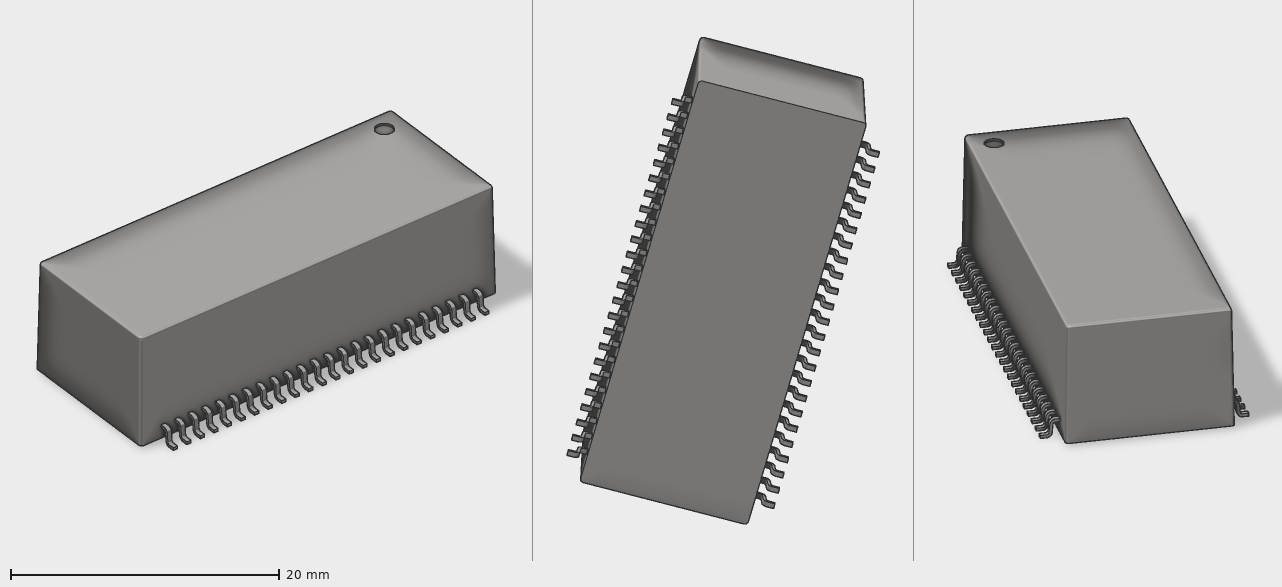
import cadquery as cq
import math

BODY_WIDTH = 13.0
BODY_LENGTH = 33.4
BODY_BOTTOM = 0.3
BODY_TOP = 10.0
DRAFT_ANGLE = 1.0
CORNER_RADIUS = 0.3
TOP_EDGE_RADIUS = 0.3

INDEX_DIAMETER = 1.5
INDEX_DEPTH = 0.2
INDEX_X = -4.5
INDEX_Y = 14.5

LEADS_PER_SIDE = 24
LEAD_PITCH = 1.27
LEAD_WIDTH = 0.4
LEAD_THICKNESS = 0.25
LEAD_TIP_X = 8.0
LEAD_TOP = 1.5
LEAD_HEEL_X = 7.12
LEG_TILT = 5.0
INNER_BEND_RADIUS = 0.2
LEAD_EMBED = 0.5


def make_body():
    """Drafted block with rounded vertical corners and a rounded top rim."""
    block = (
        cq.Workplane("XY")
        .workplane(offset=BODY_BOTTOM)
        .rect(BODY_WIDTH, BODY_LENGTH)
        .extrude(BODY_TOP - BODY_BOTTOM, taper=DRAFT_ANGLE)
    )
    upright_edges = block.edges("not(#Z)")
    return upright_edges.fillet(CORNER_RADIUS).faces(">Z").edges().fillet(TOP_EDGE_RADIUS)


def make_index_recess():
    """Cutter for the shallow round mark."""
    return (
        cq.Workplane("XY")
        .workplane(offset=BODY_TOP - INDEX_DEPTH)
        .center(INDEX_X, INDEX_Y)
        .circle(INDEX_DIAMETER / 2)
        .extrude(INDEX_DEPTH)
    )


def make_lead():
    """One bent lead on the +X side, centred on Y = 0."""
    tilt = math.radians(LEG_TILT)
    leg_thickness_x = LEAD_THICKNESS / math.cos(tilt)
    shoulder_bottom = LEAD_TOP - LEAD_THICKNESS
    root_x = BODY_WIDTH / 2 - LEAD_EMBED

    def leg_inner_x(z):
        return LEAD_HEEL_X - z * math.tan(tilt)

    def leg_outer_x(z):
        return leg_inner_x(z) + leg_thickness_x

    heel = (leg_inner_x(0), 0)
    toe_bend = (leg_outer_x(LEAD_THICKNESS), LEAD_THICKNESS)
    shoulder_outer = (leg_outer_x(LEAD_TOP), LEAD_TOP)
    shoulder_inner = (leg_inner_x(shoulder_bottom), shoulder_bottom)
    outline = [
        (LEAD_TIP_X, 0),
        (LEAD_TIP_X, LEAD_THICKNESS),
        toe_bend,
        shoulder_outer,
        (root_x, LEAD_TOP),
        (root_x, shoulder_bottom),
        shoulder_inner,
        heel,
    ]
    lead = cq.Workplane("XZ").polyline(outline).close().extrude(LEAD_WIDTH / 2, both=True)

    def round_bend(solid, corner, radius):
        edge = cq.NearestToPointSelector((corner[0], 0, corner[1]))
        return solid.edges("|Y").edges(edge).fillet(radius)

    outer_bend_radius = INNER_BEND_RADIUS + LEAD_THICKNESS
    for corner in (heel, shoulder_outer):
        lead = round_bend(lead, corner, outer_bend_radius)
    for corner in (toe_bend, shoulder_inner):
        lead = round_bend(lead, corner, INNER_BEND_RADIUS)
    return lead


def add_leads(body):
    """Join both rows of leads to the body."""
    right_lead = make_lead()
    left_lead = right_lead.mirror("YZ")
    first_y = -LEAD_PITCH * (LEADS_PER_SIDE - 1) / 2
    for index in range(LEADS_PER_SIDE):
        shift = (0, first_y + index * LEAD_PITCH, 0)
        body = body.union(right_lead.translate(shift)).union(left_lead.translate(shift))
    return body


result = add_leads(make_body().cut(make_index_recess()))